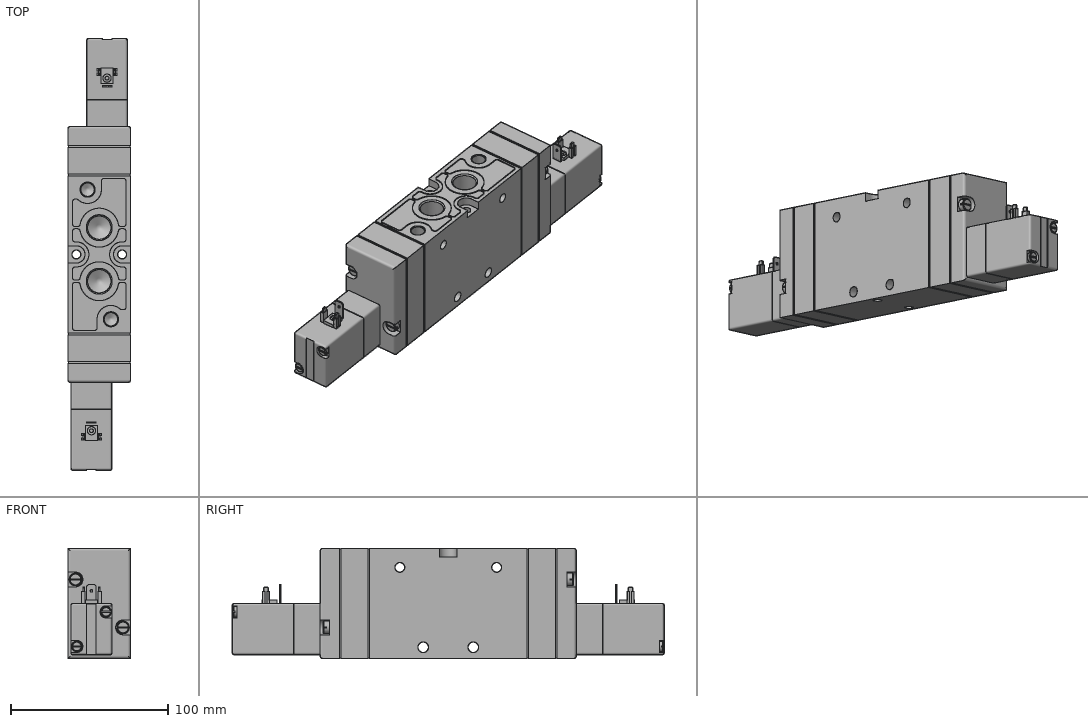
import cadquery as cq
import math

OVERALL_LENGTH = 275.0

HOUSING_WIDTH = 40.0
HOUSING_LENGTH = 163.0
HOUSING_HEIGHT = 70.0
HOUSING_EDGE_RADIUS = 1.6
HALF_WIDTH = HOUSING_WIDTH / 2
HALF_LENGTH = HOUSING_LENGTH / 2
CUT_MARGIN = 2.8

JOINT_Y = (50.5, 68.8)
JOINT_GROOVE_WIDTH = 1.0
JOINT_GROOVE_DEPTH = 0.3

MAIN_PORT_Y = 17.0
MAIN_PORT_DIAMETER = 14.8
MAIN_PORT_DEPTH = 22.0
MAIN_PORT_CHAMFER = 0.8
PILOT_PORT_X = -7.5
PILOT_PORT_Y = 41.2
PILOT_PORT_DIAMETER = 8.5
PILOT_PORT_DEPTH = 13.8
PILOT_PORT_CHAMFER = 0.5
DRILL_POINT_ANGLE = 118

MOUNT_X = 14.5
MOUNT_HOLE_DIAMETER = 5.5
MOUNT_SLOT_RADIUS = 5.5
MOUNT_SLOT_DEPTH = 5.5

CROSS_HOLES = ((30.8, 58.0, 6.0), (16.0, 7.2, 6.5))

RECESS_DEPTH = 0.5
RECESS_WIDTH = 34.0
RECESS_LENGTH = 96.8
RECESS_CORNER_RADIUS = 1.6
MAIN_LAND_RADIUS = 12.5
PILOT_LAND_RADIUS = 8.8
PILOT_LAND_CORNER = 6.0
MOUNT_LAND_RADIUS = 8.0
RIB_WIDTH = 1.5

HOUSING_SCREWS = ((-15.0, 50.3), (15.0, 19.8))
HOUSING_SCREW_POCKET_RADIUS = 4.7
HOUSING_SCREW_POCKET_DEPTH = 6.0
HOUSING_SCREW_HEAD_DIAMETER = 8.0
HOUSING_SCREW_HEAD_HEIGHT = 4.0
HOUSING_SCREW_SLOT_DEPTH = 2.2

PILOT_X = -5.0
PILOT_WIDTH = 26.0
PILOT_HEIGHT = 32.7
PILOT_BOTTOM_Z = 2.35
PILOT_LENGTH = (OVERALL_LENGTH - HOUSING_LENGTH) / 2
PILOT_EDGE_RADIUS = 1.5
SEAM_Y = -98.5
SEAM_WIDTH = 0.3
SEAM_DEPTH = 0.15
PILOT_TOP_Z = PILOT_BOTTOM_Z + PILOT_HEIGHT
PILOT_MIDDLE_Z = PILOT_BOTTOM_Z + PILOT_HEIGHT / 2
PILOT_END_Y = -HALF_LENGTH - PILOT_LENGTH
STRIP_WIDTH = 6.0
STRIP_DEPTH = 0.5

PILOT_SCREW_OFFSET_X = 9.4
PILOT_SCREW_OFFSET_Z = 11.0
PILOT_SCREW_POCKET_RADIUS = 3.8
PILOT_SCREW_POCKET_DEPTH = 3.0
PILOT_SCREW_HEAD_DIAMETER = 6.5
PILOT_SCREW_HEAD_HEIGHT = 2.5
PILOT_SCREW_SLOT_DEPTH = 1.0
SCREW_SLOT_WIDTH = 0.8
SCREW_HEAD_CHAMFER = 0.5

CONNECTOR_BASE_WIDTH = 7.7
CONNECTOR_BASE_HEIGHT = 2.2
CONNECTOR_BASE_BACK_Y = -109.0
CONNECTOR_BASE_FRONT_Y = -118.5
CONNECTOR_SOCKET_Y = -112.2
CONNECTOR_SOCKET_DIAMETER = 5.2
CONNECTOR_SOCKET_DEPTH = 1.0
CONNECTOR_HOLE_DIAMETER = 2.45
GROUND_BLADE_Y = -107.0
GROUND_BLADE_WIDTH = 6.0
GROUND_BLADE_THICKNESS = 0.8
GROUND_BLADE_HEIGHT = 12.0
GROUND_BLADE_CHAMFER = 1.0
GROUND_BLADE_HOLE_DIAMETER = 1.6
GROUND_BLADE_HOLE_HEIGHT = 8.0
TERMINAL_Y = -116.0
TERMINAL_OFFSET_X = 5.0
TERMINAL_THICKNESS = 1.0
TERMINAL_WIDTH = 3.0
TERMINAL_HEIGHT = 10.5
TERMINAL_CHAMFER = 0.5
GUARD_INNER_X = 4.0
GUARD_OUTER_X = 6.3
GUARD_WIDTH = 4.5
GUARD_HEIGHT = 7.7
GUARD_GROOVE_WIDTH = 1.5
GUARD_GROOVE_DEPTH = 0.8


def box(x_range, y_range, z_range):
    """Box between the given limits."""
    return cq.Workplane("XY").box(
        x_range[1] - x_range[0], y_range[1] - y_range[0], z_range[1] - z_range[0], centered=False
    ).translate((x_range[0], y_range[0], z_range[0]))


def turned(shape):
    """Copy turned half a turn about Z, for the opposite end."""
    return shape.rotate((0, 0, 0), (0, 0, 1), 180)


def ring_groove(x, y, z, section, width, depth):
    """Cutter for a groove round a bar along Y whose section is (X size, Z size)."""
    outer = cq.Workplane("XY").box(section[0], width, section[1])
    inner = cq.Workplane("XY").box(section[0] - 2 * depth, width, section[1] - 2 * depth)
    return outer.cut(inner).translate((x, y, z))


def drilled_port(x, y, diameter, depth, chamfer):
    """Cutter for a blind port with a chamfered mouth and a drill point."""
    radius = diameter / 2
    mouth = cq.Solid.makeCone(radius + chamfer, radius, chamfer, dir=cq.Vector(0, 0, -1))
    bore = cq.Solid.makeCylinder(radius, depth, dir=cq.Vector(0, 0, -1))
    half_angle = math.radians(DRILL_POINT_ANGLE / 2)
    point = cq.Solid.makeCone(
        radius, 0, radius / math.tan(half_angle), cq.Vector(0, 0, -depth), cq.Vector(0, 0, -1)
    )
    return cq.Workplane(bore).union(cq.Workplane(mouth)).union(cq.Workplane(point)).translate(
        (x, y, HOUSING_HEIGHT)
    )


def column(x, y, radius, bottom, top):
    """Upright cylinder."""
    return cq.Workplane("XY", (x, y, bottom)).circle(radius).extrude(top - bottom)


def mount_slot(radius, depth):
    """Slot from the -X side to a round end about the mounting hole, cut down from the top."""
    floor = HOUSING_HEIGHT - depth
    side = -HALF_WIDTH - CUT_MARGIN
    top = HOUSING_HEIGHT + CUT_MARGIN
    round_end = column(-MOUNT_X, 0, radius, floor, top)
    return round_end.union(box((side, -MOUNT_X), (-radius, radius), (floor, top)))


def top_recess():
    """Cutter for the shallow recess round the lands of the top face."""
    floor = HOUSING_HEIGHT - RECESS_DEPTH
    top = HOUSING_HEIGHT + CUT_MARGIN
    recess = box(
        (-RECESS_WIDTH / 2, RECESS_WIDTH / 2), (-RECESS_LENGTH / 2, RECESS_LENGTH / 2), (floor, top)
    )
    main_land = column(0, MAIN_PORT_Y, MAIN_LAND_RADIUS, floor, top)
    rib = box(
        (-HALF_WIDTH, HALF_WIDTH),
        (MAIN_PORT_Y - RIB_WIDTH / 2, MAIN_PORT_Y + RIB_WIDTH / 2),
        (floor, top),
    )
    corner_y = PILOT_PORT_Y - PILOT_LAND_CORNER
    pilot_land = (
        column(PILOT_PORT_X, PILOT_PORT_Y, PILOT_LAND_RADIUS, floor, top)
        .union(box((-HALF_WIDTH, PILOT_PORT_X), (corner_y, HALF_LENGTH), (floor, top)))
        .union(
            box(
                (-HALF_WIDTH, PILOT_PORT_X + PILOT_LAND_RADIUS),
                (PILOT_PORT_Y, HALF_LENGTH),
                (floor, top),
            )
        )
    )
    mount_land = mount_slot(MOUNT_LAND_RADIUS, RECESS_DEPTH)
    for land in (main_land, rib, pilot_land, mount_land):
        recess = recess.cut(land).cut(turned(land))
    return recess.edges("|Z").fillet(RECESS_CORNER_RADIUS)


def screw_pocket(x, z, end_y, radius, depth, side_x):
    """Pocket in a -Y end face, round about the screw and open to the side at side_x."""
    round_end = cq.Workplane("XZ", (x, end_y + depth, z)).circle(radius).extrude(depth + CUT_MARGIN)
    outside = side_x + math.copysign(CUT_MARGIN, side_x - x)
    opening = box(
        (min(x, outside), max(x, outside)), (end_y - CUT_MARGIN, end_y + depth), (z - radius, z + radius)
    )
    return round_end.union(opening)


def screw_head(x, z, floor_y, diameter, height, slot_depth):
    """Slotted screw head standing on a pocket floor and pointing to -Y."""
    head = cq.Workplane("XZ", (x, floor_y, z)).circle(diameter / 2).extrude(height)
    head = head.faces("<Y").chamfer(SCREW_HEAD_CHAMFER)
    slot = cq.Workplane("XY").box(diameter, slot_depth, SCREW_SLOT_WIDTH).translate(
        (x, floor_y - height + slot_depth / 2, z)
    )
    return head.cut(slot)


def make_housing():
    body = cq.Workplane("XY").box(
        HOUSING_WIDTH, HOUSING_LENGTH, HOUSING_HEIGHT, centered=(True, True, False)
    )
    body = body.faces("<Y or >Y").edges().fillet(HOUSING_EDGE_RADIUS)

    for joint_y in JOINT_Y:
        ring = ring_groove(
            0,
            joint_y,
            HOUSING_HEIGHT / 2,
            (HOUSING_WIDTH, HOUSING_HEIGHT),
            JOINT_GROOVE_WIDTH,
            JOINT_GROOVE_DEPTH,
        )
        body = body.cut(ring).cut(turned(ring))

    body = body.cut(top_recess())

    half_cutters = [
        drilled_port(0, MAIN_PORT_Y, MAIN_PORT_DIAMETER, MAIN_PORT_DEPTH, MAIN_PORT_CHAMFER),
        drilled_port(
            PILOT_PORT_X, PILOT_PORT_Y, PILOT_PORT_DIAMETER, PILOT_PORT_DEPTH, PILOT_PORT_CHAMFER
        ),
        mount_slot(MOUNT_SLOT_RADIUS, MOUNT_SLOT_DEPTH),
        column(-MOUNT_X, 0, MOUNT_HOLE_DIAMETER / 2, 0, HOUSING_HEIGHT),
    ]
    for y, z, diameter in CROSS_HOLES:
        hole = cq.Workplane("YZ", (-HALF_WIDTH, y, z)).circle(diameter / 2).extrude(HOUSING_WIDTH)
        half_cutters.append(hole)
    for cutter in half_cutters:
        body = body.cut(cutter).cut(turned(cutter))

    for x, z in HOUSING_SCREWS:
        pocket = screw_pocket(
            x,
            z,
            -HALF_LENGTH,
            HOUSING_SCREW_POCKET_RADIUS,
            HOUSING_SCREW_POCKET_DEPTH,
            math.copysign(HALF_WIDTH, x),
        )
        head = screw_head(
            x,
            z,
            -HALF_LENGTH + HOUSING_SCREW_POCKET_DEPTH,
            HOUSING_SCREW_HEAD_DIAMETER,
            HOUSING_SCREW_HEAD_HEIGHT,
            HOUSING_SCREW_SLOT_DEPTH,
        )
        body = body.cut(pocket).cut(turned(pocket)).union(head).union(turned(head))
    return body


def connector_base():
    """Base plate with a stepped socket."""
    top = PILOT_TOP_Z + CONNECTOR_BASE_HEIGHT
    half = CONNECTOR_BASE_WIDTH / 2
    plate = box(
        (PILOT_X - half, PILOT_X + half),
        (CONNECTOR_BASE_FRONT_Y, CONNECTOR_BASE_BACK_Y),
        (PILOT_TOP_Z, top),
    )
    socket = column(
        PILOT_X, CONNECTOR_SOCKET_Y, CONNECTOR_SOCKET_DIAMETER / 2, top - CONNECTOR_SOCKET_DEPTH, top
    )
    hole = column(PILOT_X, CONNECTOR_SOCKET_Y, CONNECTOR_HOLE_DIAMETER / 2, PILOT_TOP_Z, top)
    return plate.cut(socket).cut(hole)


def ground_blade():
    """Upright blade across X with bevelled corners and a small hole."""
    blade = (
        cq.Workplane("XY", (PILOT_X, GROUND_BLADE_Y, PILOT_TOP_Z))
        .box(
            GROUND_BLADE_WIDTH,
            GROUND_BLADE_THICKNESS,
            GROUND_BLADE_HEIGHT,
            centered=(True, True, False),
        )
        .faces(">Z")
        .edges("|Y")
        .chamfer(GROUND_BLADE_CHAMFER)
    )
    hole = (
        cq.Workplane("XZ", (PILOT_X, GROUND_BLADE_Y, PILOT_TOP_Z + GROUND_BLADE_HOLE_HEIGHT))
        .circle(GROUND_BLADE_HOLE_DIAMETER / 2)
        .extrude(GROUND_BLADE_THICKNESS, both=True)
    )
    return blade.cut(hole)


def terminal():
    """Terminal blade on the +X side of the base, in a guard grooved on its outer side."""
    blade = (
        cq.Workplane("XY", (PILOT_X + TERMINAL_OFFSET_X, TERMINAL_Y, PILOT_TOP_Z))
        .box(TERMINAL_THICKNESS, TERMINAL_WIDTH, TERMINAL_HEIGHT, centered=(True, True, False))
        .faces(">Z")
        .edges("|X")
        .chamfer(TERMINAL_CHAMFER)
    )
    guard_z = (PILOT_TOP_Z, PILOT_TOP_Z + GUARD_HEIGHT)
    outer_x = PILOT_X + GUARD_OUTER_X
    guard = box(
        (PILOT_X + GUARD_INNER_X, outer_x),
        (TERMINAL_Y - GUARD_WIDTH / 2, TERMINAL_Y + GUARD_WIDTH / 2),
        guard_z,
    )
    groove = box(
        (outer_x - GUARD_GROOVE_DEPTH, outer_x),
        (TERMINAL_Y - GUARD_GROOVE_WIDTH / 2, TERMINAL_Y + GUARD_GROOVE_WIDTH / 2),
        guard_z,
    )
    return guard.cut(groove).union(blade)


def make_pilot():
    """Pilot valve for the -Y end of the housing."""
    body = (
        cq.Workplane("XY", (PILOT_X, -HALF_LENGTH - PILOT_LENGTH / 2, PILOT_MIDDLE_Z))
        .box(PILOT_WIDTH, PILOT_LENGTH, PILOT_HEIGHT)
        .edges("|Y or <Y")
        .fillet(PILOT_EDGE_RADIUS)
    )
    seam = ring_groove(
        PILOT_X, SEAM_Y, PILOT_MIDDLE_Z, (PILOT_WIDTH, PILOT_HEIGHT), SEAM_WIDTH, SEAM_DEPTH
    )
    body = body.cut(seam)

    strip = box(
        (PILOT_X - STRIP_WIDTH / 2, PILOT_X + STRIP_WIDTH / 2),
        (PILOT_END_Y, PILOT_END_Y + STRIP_DEPTH),
        (PILOT_BOTTOM_Z, PILOT_TOP_Z),
    )
    body = body.cut(strip)

    for side in (-1, 1):
        x = PILOT_X + side * PILOT_SCREW_OFFSET_X
        z = PILOT_MIDDLE_Z + side * PILOT_SCREW_OFFSET_Z
        pocket = screw_pocket(
            x,
            z,
            PILOT_END_Y,
            PILOT_SCREW_POCKET_RADIUS,
            PILOT_SCREW_POCKET_DEPTH,
            PILOT_X + side * PILOT_WIDTH / 2,
        )
        head = screw_head(
            x,
            z,
            PILOT_END_Y + PILOT_SCREW_POCKET_DEPTH,
            PILOT_SCREW_HEAD_DIAMETER,
            PILOT_SCREW_HEAD_HEIGHT,
            PILOT_SCREW_SLOT_DEPTH,
        )
        body = body.cut(pocket).union(head)

    right_terminal = terminal()
    left_terminal = right_terminal.mirror("YZ", (PILOT_X, 0, 0))
    for piece in (connector_base(), ground_blade(), right_terminal, left_terminal):
        body = body.union(piece)
    return body


housing = make_housing()
pilots = [make_pilot().rotate((0, 0, 0), (0, 0, 1), angle) for angle in (0, 180)]

result = cq.Compound.makeCompound([housing.val(), *[pilot.val() for pilot in pilots]])